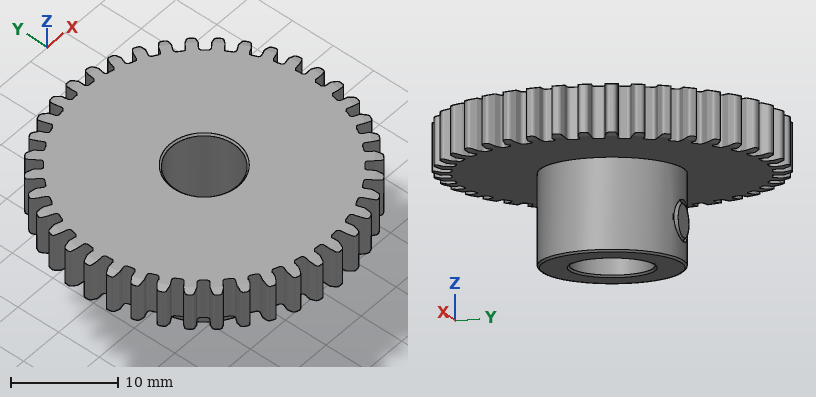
import cadquery as cq
import math

TOOTH_COUNT = 40
OUTER_RADIUS = 16.8
MODULE = 2 * OUTER_RADIUS / (TOOTH_COUNT + 2)
PITCH_RADIUS = OUTER_RADIUS - MODULE
ROOT_RADIUS = PITCH_RADIUS - 1.25 * MODULE
TOOTH_ANGLE = 2 * math.pi / TOOTH_COUNT

PITCH_HALF_WIDTH = math.pi * MODULE / 4
TIP_LAND_HALF_WIDTH = 0.145
TIP_ROUND_RADIUS = 0.35
TIP_ROUND_SWEEP = math.radians(74)
WAIST_HALF_WIDTH = 0.6
ROOT_FILLET_RADIUS = 0.3
ROOT_HALF_WIDTH = WAIST_HALF_WIDTH + ROOT_FILLET_RADIUS

TOTAL_HEIGHT = 14.0
RIM_THICKNESS = 5.0
RIM_BOTTOM = TOTAL_HEIGHT - RIM_THICKNESS
TIP_CHAMFER_ANGLE = math.radians(15)
TIP_CHAMFER_HEIGHT = (OUTER_RADIUS - PITCH_RADIUS) * math.tan(TIP_CHAMFER_ANGLE)

HUB_RADIUS = 14.0 / 2
BORE_RADIUS = 8.0 / 2
EDGE_CHAMFER = 0.2

SCREW_RADIUS = 4.0 / 2
SCREW_END_RADIUS = 3.23 / 2
SCREW_CHAMFER = SCREW_RADIUS - SCREW_END_RADIUS
SCREW_HEIGHT = 4.0
SCREW_LENGTH = HUB_RADIUS - BORE_RADIUS


def round_point(center_radius, center_half_width, round_radius, angle):
    """(radius, half width) of a point on a tooth rounding; angle runs from the outward radial direction."""
    return (
        center_radius + round_radius * math.cos(angle),
        center_half_width + round_radius * math.sin(angle),
    )


def tip_round_point(angle):
    center_radius = OUTER_RADIUS - TIP_ROUND_RADIUS
    return round_point(center_radius, TIP_LAND_HALF_WIDTH, TIP_ROUND_RADIUS, angle)


def root_fillet_point(angle):
    center_radius = ROOT_RADIUS + ROOT_FILLET_RADIUS
    return round_point(center_radius, ROOT_HALF_WIDTH, ROOT_FILLET_RADIUS, angle)


FILLET_MIDDLE = root_fillet_point(math.radians(225))
FILLET_TOP = root_fillet_point(math.radians(270))
TIP_ROUND_START = tip_round_point(TIP_ROUND_SWEEP)
TIP_ROUND_MIDDLE = tip_round_point(TIP_ROUND_SWEEP / 2)
TIP_ROUND_END = tip_round_point(0)


def polar(radius, angle):
    return (radius * math.cos(angle), radius * math.sin(angle))


def draw_tooth(outline, center_angle):
    """Add one tooth, counter-clockwise, from the end of one root land to the end of the next."""

    def rising(point):
        radius, half_width = point
        return polar(radius, center_angle - half_width / radius)

    def falling(point):
        radius, half_width = point
        return polar(radius, center_angle + half_width / radius)

    pitch_point = (PITCH_RADIUS, PITCH_HALF_WIDTH)
    next_root_end = polar(ROOT_RADIUS, center_angle + TOOTH_ANGLE - ROOT_HALF_WIDTH / ROOT_RADIUS)
    return (
        outline.threePointArc(rising(FILLET_MIDDLE), rising(FILLET_TOP))
        .lineTo(*rising(pitch_point))
        .lineTo(*rising(TIP_ROUND_START))
        .threePointArc(rising(TIP_ROUND_MIDDLE), rising(TIP_ROUND_END))
        .threePointArc(polar(OUTER_RADIUS, center_angle), falling(TIP_ROUND_END))
        .threePointArc(falling(TIP_ROUND_MIDDLE), falling(TIP_ROUND_START))
        .lineTo(*falling(pitch_point))
        .lineTo(*falling(FILLET_TOP))
        .threePointArc(falling(FILLET_MIDDLE), falling((ROOT_RADIUS, ROOT_HALF_WIDTH)))
        .threePointArc(polar(ROOT_RADIUS, center_angle + TOOTH_ANGLE / 2), next_root_end)
    )


def make_rim():
    start = polar(ROOT_RADIUS, -ROOT_HALF_WIDTH / ROOT_RADIUS)
    outline = cq.Workplane("XY", origin=(0, 0, RIM_BOTTOM)).moveTo(*start)
    for tooth in range(TOOTH_COUNT):
        outline = draw_tooth(outline, tooth * TOOTH_ANGLE)
    return outline.close().extrude(RIM_THICKNESS).intersect(make_rim_envelope())


def make_rim_envelope():
    """Disc whose conical edges bevel both ends of every tooth down to the pitch circle."""
    return (
        cq.Workplane("XZ")
        .moveTo(0, RIM_BOTTOM)
        .lineTo(PITCH_RADIUS, RIM_BOTTOM)
        .lineTo(OUTER_RADIUS, RIM_BOTTOM + TIP_CHAMFER_HEIGHT)
        .lineTo(OUTER_RADIUS, TOTAL_HEIGHT - TIP_CHAMFER_HEIGHT)
        .lineTo(PITCH_RADIUS, TOTAL_HEIGHT)
        .lineTo(0, TOTAL_HEIGHT)
        .close()
        .revolve(360, (0, 0, 0), (0, 1, 0))
    )


def make_hub():
    return cq.Workplane("XY").circle(HUB_RADIUS).extrude(RIM_BOTTOM).faces("<Z").chamfer(EDGE_CHAMFER)


def make_bore():
    """Through bore, widened by a chamfer at both ends."""
    mouth_radius = BORE_RADIUS + EDGE_CHAMFER
    return (
        cq.Workplane("XZ")
        .lineTo(mouth_radius, 0)
        .lineTo(BORE_RADIUS, EDGE_CHAMFER)
        .lineTo(BORE_RADIUS, TOTAL_HEIGHT - EDGE_CHAMFER)
        .lineTo(mouth_radius, TOTAL_HEIGHT)
        .lineTo(0, TOTAL_HEIGHT)
        .close()
        .revolve(360, (0, 0, 0), (0, 1, 0))
    )


def make_screw_hole():
    return cq.Workplane("XZ", origin=(0, 0, SCREW_HEIGHT)).circle(SCREW_RADIUS).extrude(-HUB_RADIUS)


def make_gear():
    return make_rim().union(make_hub()).cut(make_bore()).cut(make_screw_hole())


def make_set_screw():
    """Short screw with a chamfered outer end that lies level with the hub surface."""
    return (
        cq.Workplane("XZ", origin=(0, BORE_RADIUS, SCREW_HEIGHT))
        .circle(SCREW_RADIUS)
        .extrude(-SCREW_LENGTH)
        .faces(">Y")
        .chamfer(SCREW_CHAMFER)
    )


gear = make_gear()
set_screw = make_set_screw()
result = cq.Compound.makeCompound([gear.val(), set_screw.val()])